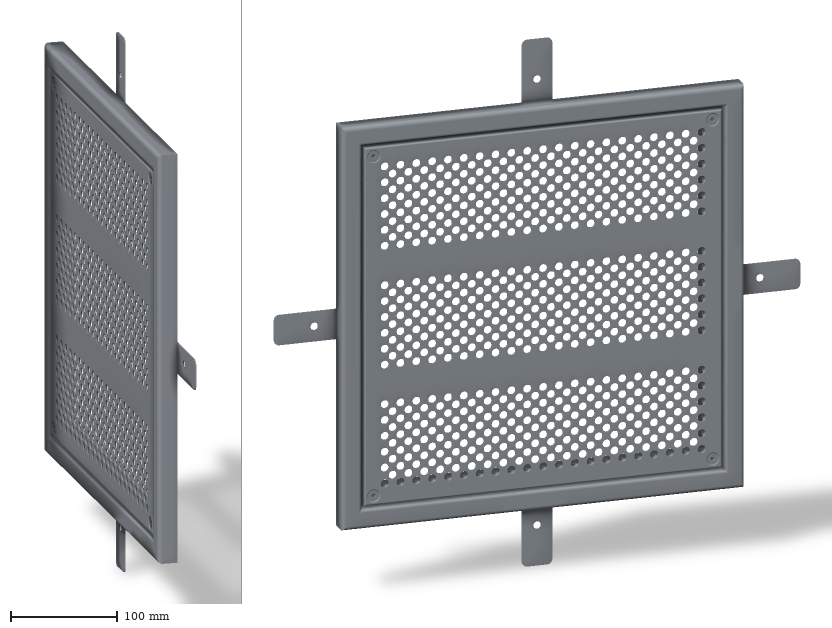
import cadquery as cq
import math

overall_span = 523.0
overall_depth = 25.03

frame_side = 400.0
frame_depth = 18.8
frame_edge_radius = 4.0
lip_side = 367.0
ledge_depth = 7.0
opening_side = 320.0

panel_side = 355.0
panel_front = 1.0
panel_rim_thickness = ledge_depth - panel_front
panel_edge_radius = 1.5
panel_web_thickness = 1.5

hole_diameter = 8.0
column_pitch = 15.75
row_pitch = column_pitch / 2
column_count = 21
row_count = 11
field_count = 3
field_pitch = 118.0

screw_offset = 168.5
countersink_diameter = 13.0
head_diameter = 11.34
thread_diameter = 6.0
thread_end_diameter = 4.92
socket_width = 4.0
socket_depth = 2.2
socket_tip_depth = 1.0

strap_thickness = 1.2
strap_width = 30.0
strap_length = (overall_span - opening_side) / 2
strap_corner_radius = 5.0
strap_hole_diameter = 7.5
strap_hole_inset = 40.0


def square_plate(side, front, thickness):
    return cq.Workplane("XZ", origin=(0, front, 0)).rect(side, side).extrude(-thickness)


def turned(outline):
    """Revolves a wire of (radius, y) points around the Y axis."""
    return cq.Workplane("XY").polyline(outline).close().revolve(360, (0, 0, 0), (0, 1, 0))


def centred_positions(count, pitch):
    return [(i - (count - 1) / 2) * pitch for i in range(count)]


countersink_radius = countersink_diameter / 2
head_radius = head_diameter / 2
thread_radius = thread_diameter / 2
thread_end_radius = thread_end_diameter / 2
head_front = panel_front + countersink_radius - head_radius
head_back = head_front + head_radius - thread_radius
thread_end_chamfer = thread_radius - thread_end_radius


def make_screw():
    body = turned([
        (0, head_front),
        (head_radius, head_front),
        (thread_radius, head_back),
        (thread_radius, overall_depth - thread_end_chamfer),
        (thread_end_radius, overall_depth),
        (0, overall_depth),
    ])
    socket_corner_diameter = socket_width / math.cos(math.pi / 6)
    socket_floor = head_front + socket_depth
    hexagon = (
        cq.Workplane("XZ", origin=(0, head_front, 0))
        .polygon(6, socket_corner_diameter)
        .extrude(-(socket_depth + socket_tip_depth))
    )
    pointed_drill = turned([
        (0, head_front),
        (socket_corner_diameter / 2, head_front),
        (socket_corner_diameter / 2, socket_floor),
        (0, socket_floor + socket_tip_depth),
    ])
    return body.cut(hexagon.intersect(pointed_drill))


def make_screw_bore():
    """The room for one screw: a countersink that carries the head, and the thread hole."""
    return turned([
        (0, panel_front),
        (countersink_radius, panel_front),
        (thread_radius, head_back),
        (thread_radius, overall_depth),
        (0, overall_depth),
    ])


def make_frame():
    """Sweeps the section of one side around the square, with mitred corners."""
    outer = frame_side / 2
    arc_inset = frame_edge_radius * (1 - math.sqrt(0.5))
    lip_start = (lip_side / 2, 0)
    lip_end = (panel_side / 2, ledge_depth)
    inward = (-1, 0)
    section = (
        cq.Workplane("XY")
        .moveTo(*lip_start)
        .spline([lip_start, lip_end], tangents=[inward, inward])
        .lineTo(opening_side / 2, ledge_depth)
        .lineTo(opening_side / 2, frame_depth)
        .lineTo(outer, frame_depth)
        .lineTo(outer, frame_edge_radius)
        .threePointArc((outer - arc_inset, arc_inset), (outer - frame_edge_radius, 0))
        .close()
    )
    path = cq.Workplane("XZ").polyline([
        (outer, 0), (outer, outer), (-outer, outer), (-outer, -outer), (outer, -outer)
    ]).close()
    return section.sweep(path, transition="right")


def hole_centres():
    centres = []
    for field_z in centred_positions(field_count, field_pitch):
        for row, row_z in enumerate(centred_positions(row_count, row_pitch)):
            holes_in_row = column_count - row % 2
            for x in centred_positions(holes_in_row, column_pitch):
                centres.append((x, field_z + row_z))
    return centres


def make_panel():
    panel = square_plate(panel_side, panel_front, panel_rim_thickness)
    panel = panel.faces("<Y").edges().fillet(panel_edge_radius)
    web_back = panel_front + panel_web_thickness
    panel = panel.cut(square_plate(opening_side, web_back, ledge_depth - web_back))
    holes = (
        cq.Workplane("XZ", origin=(0, panel_front, 0))
        .pushPoints(hole_centres())
        .circle(hole_diameter / 2)
        .extrude(-panel_rim_thickness)
    )
    return panel.cut(holes)


def make_strap():
    """The strap at the middle of the top side."""
    plane = cq.Workplane("XZ", origin=(0, frame_depth, overall_span / 2))
    strap = plane.center(0, -strap_length / 2).rect(strap_width, strap_length).extrude(-strap_thickness)
    strap = strap.edges("|Y and >Z").fillet(strap_corner_radius)
    hole = plane.center(0, -strap_hole_inset).circle(strap_hole_diameter / 2).extrude(-strap_thickness)
    return strap.cut(hole)


frame = make_frame()
panel = make_panel()
screw = make_screw()
screw_bore = make_screw_bore()
screws = []
for x in (-screw_offset, screw_offset):
    for z in (-screw_offset, screw_offset):
        screws.append(screw.translate((x, 0, z)))
        bore = screw_bore.translate((x, 0, z))
        panel = panel.cut(bore)
        frame = frame.cut(bore)

top_strap = make_strap()
straps = [top_strap.rotate((0, 0, 0), (0, 1, 0), 90 * turn) for turn in range(4)]

result = cq.Compound.makeCompound([
    frame.solids().val(),
    panel.solids().val(),
    *[body.val() for body in screws],
    *[body.val() for body in straps],
])